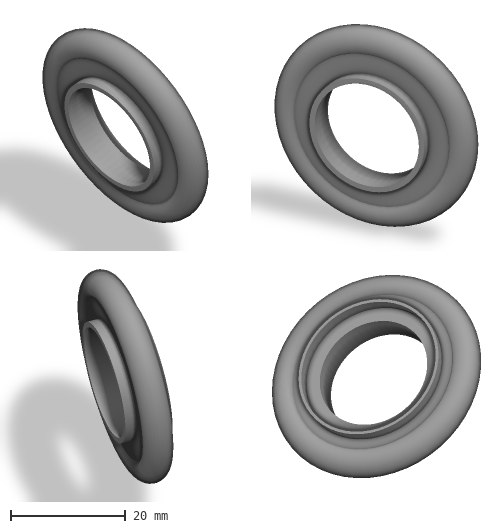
import cadquery as cq

seal_outer_diameter = 38.6
seal_section_diameter = 5.33
total_width = 8.0

front_bore_diameter = 20.0
front_collar_diameter = 22.0
back_bore_diameter = 25.0
back_collar_diameter = 26.0
web_thickness = 3.9
bore_step_y = 1.5

seal_section_radius = seal_section_diameter / 2
seal_centre_radius = seal_outer_diameter / 2 - seal_section_radius
half_width = total_width / 2


def cylinder(diameter, start_y, end_y):
    """Solid cylinder about the Y axis between two Y positions."""
    plane = cq.Workplane("XZ", origin=(0, start_y, 0))
    return plane.circle(diameter / 2).extrude(start_y - end_y)


def make_seal():
    """Round-section O-ring around the Y axis."""
    section = cq.Workplane("XY").center(seal_centre_radius, 0).circle(seal_section_radius)
    return section.revolve(360, (-seal_centre_radius, 0, 0), (-seal_centre_radius, 1, 0))


def make_centering_ring(seal):
    """Stepped ring whose web reaches the seal and is hollowed to seat it."""
    web = cylinder(2 * seal_centre_radius, -web_thickness / 2, web_thickness / 2)
    front_collar = cylinder(front_collar_diameter, -half_width, 0)
    back_collar = cylinder(back_collar_diameter, 0, half_width)
    front_bore = cylinder(front_bore_diameter, -half_width, half_width)
    back_bore = cylinder(back_bore_diameter, bore_step_y, half_width)
    body = web.union(front_collar).union(back_collar)
    return body.cut(front_bore).cut(back_bore).cut(seal)


seal = make_seal()
centering_ring = make_centering_ring(seal)
result = cq.Compound.makeCompound([centering_ring.val(), seal.val()])